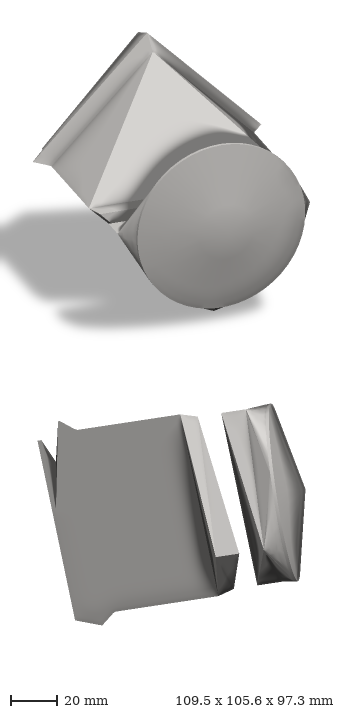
import cadquery as cq
import math


flange_front_radius = 48.2
flange_radius = 52.8
flange_x = 11.1
neck_x = 16.8
neck_radius = 47.5
barrel_x = 18.0
barrel_radius = 46.9
barrel_end_x = 63.0

plate_thickness = 1.8
plate_reach = 44.5
slot_tip_x = 9.3
slot_tip_reach = 46.6
slot_slope = slot_tip_x / slot_tip_reach
slot_start = plate_thickness / slot_slope
slot_overrun = 65.7

core_radius = 44.5
collar_x = 70.2
collar_end_x = 80.5
wedge_end_x = 91.2

dome_inner_rim_x = 98.9
dome_rim_x = 100.3
dome_rim_radius = 38.8
dome_tip_x = 109.5
top_angle = 90.0
lower_fan_angle = 45.0


def polyhedron(corners, faces):
    """Solid with flat faces; each face lists the indices of its corners in order."""
    sides = []
    for face in faces:
        outline = [cq.Vector(*corners[i]) for i in face]
        sides.append(cq.Face.makeFromWires(cq.Wire.makePolygon(outline, close=True)))
    solid = cq.Solid.makeSolid(cq.Shell.makeShell(sides))
    return cq.Workplane(solid.fix())


def triangle_ring(x, radius):
    """Corners at +Y, top and -Y of a half-square section."""
    return [(x, radius, 0), (x, 0, radius), (x, -radius, 0)]


def half_prism(x_start, radius_start, x_end, radius_end):
    """Triangular frustum between two half-square sections."""
    corners = triangle_ring(x_start, radius_start) + triangle_ring(x_end, radius_end)
    faces = [(0, 1, 2), (3, 4, 5), (0, 1, 4, 3), (1, 2, 5, 4), (2, 0, 3, 5)]
    return polyhedron(corners, faces)


def make_barrel():
    """Section that slopes from its top corner down to a straight far edge."""
    corners = triangle_ring(barrel_x, barrel_radius)
    corners += [(barrel_end_x, barrel_radius, 0), (barrel_end_x, -barrel_radius, 0)]
    faces = [(0, 1, 2), (0, 1, 3), (2, 1, 4), (1, 3, 4), (0, 2, 4, 3)]
    return polyhedron(corners, faces)


def make_slot():
    """Upright wedge, open toward -Y, between the plate and the flange."""
    outline = [
        (plate_thickness, -slot_start),
        (plate_thickness, -slot_overrun),
        (slot_slope * slot_overrun, -slot_overrun),
    ]
    return cq.Workplane("XY").polyline(outline).close().extrude(slot_overrun)


def make_plate_trim():
    """Removes the flange slope outside the plate's straight slanted edge."""
    outline = [
        (0, flange_front_radius),
        (-plate_reach, 0),
        (-slot_overrun, 0),
        (-slot_overrun, slot_overrun),
        (0, slot_overrun),
    ]
    outside_edge = cq.Workplane("YZ").polyline(outline).close().extrude(plate_thickness)
    plate_outline = [
        (0, 0),
        (plate_thickness, -slot_start),
        (plate_thickness, -slot_overrun),
        (0, -slot_overrun),
    ]
    plate_zone = cq.Workplane("XY").polyline(plate_outline).close().extrude(slot_overrun)
    return outside_edge.intersect(plate_zone)


def make_stopper():
    flange = half_prism(0, flange_front_radius, flange_x, flange_radius)
    flange = flange.cut(make_slot()).cut(make_plate_trim())
    back = half_prism(flange_x, flange_radius, neck_x, neck_radius)
    neck = half_prism(neck_x, neck_radius, barrel_x, barrel_radius)
    return flange.union(back).union(neck).union(make_barrel())


def make_collar():
    corners = [
        (barrel_end_x, barrel_radius, 0),
        (barrel_end_x, -barrel_radius, 0),
        (collar_x, core_radius, 0),
        (collar_x, -core_radius, 0),
        (collar_x, 0, -core_radius),
        (collar_end_x, 0, -core_radius),
    ]
    faces = [(0, 1, 3, 2), (0, 1, 4), (0, 2, 4), (1, 3, 4), (2, 4, 5), (3, 4, 5), (2, 3, 5)]
    return polyhedron(corners, faces)


def make_wedge():
    corners = [
        (collar_end_x, core_radius, 0),
        (collar_end_x, -core_radius, 0),
        (wedge_end_x, core_radius, 0),
        (wedge_end_x, -core_radius, 0),
        (wedge_end_x, 0, -core_radius),
    ]
    faces = [(0, 1, 3, 2), (0, 1, 4), (0, 2, 4), (1, 3, 4), (2, 3, 4)]
    return polyhedron(corners, faces)


def rim_point(angle):
    """Point on the inner rim, with the angle in degrees from +Y toward +Z."""
    y = dome_rim_radius * math.cos(math.radians(angle))
    z = dome_rim_radius * math.sin(math.radians(angle))
    return (dome_inner_rim_x, y, z)


def oblique_cone(apex, start_angle, end_angle):
    """Smooth cone from an apex to a sector of the rim disc."""
    center = (dome_inner_rim_x, 0, 0)
    start = rim_point(start_angle)
    middle = rim_point((start_angle + end_angle) / 2)
    end = rim_point(end_angle)
    arc = cq.Edge.makeThreePointArc(cq.Vector(*start), cq.Vector(*middle), cq.Vector(*end))
    first_side = cq.Edge.makeLine(cq.Vector(*center), cq.Vector(*start))
    last_side = cq.Edge.makeLine(cq.Vector(*end), cq.Vector(*center))
    sector = cq.Wire.assembleEdges([first_side, arc, last_side])
    tip = cq.Vertex.makeVertex(*apex)
    return cq.Workplane(cq.occ_impl.shapes.loft([cq.Face.makeFromWires(sector), tip], ruled=True))


def tetrahedron(*corners):
    return polyhedron(corners, [(0, 1, 2), (0, 1, 3), (1, 2, 3), (2, 0, 3)])


def make_dome_base():
    """Transition from the wedge's triangular end to the round rim."""
    center = (dome_inner_rim_x, 0, 0)
    left = (wedge_end_x, core_radius, 0)
    right = (wedge_end_x, -core_radius, 0)
    bottom = (wedge_end_x, 0, -core_radius)
    fans = [
        (left, -lower_fan_angle, top_angle),
        (right, top_angle, 180 + lower_fan_angle),
        (bottom, 180 + lower_fan_angle, 360 - lower_fan_angle),
    ]
    base = tetrahedron(left, right, bottom, center)
    for index, (corner, start_angle, end_angle) in enumerate(fans):
        next_corner = fans[(index + 1) % len(fans)][0]
        base = base.union(oblique_cone(corner, start_angle, end_angle))
        base = base.union(tetrahedron(corner, next_corner, center, rim_point(end_angle)))
    return base


def make_dome():
    rim_length = dome_rim_x - dome_inner_rim_x
    along_x = cq.Vector(1, 0, 0)
    rim = cq.Solid.makeCylinder(dome_rim_radius, rim_length, cq.Vector(dome_inner_rim_x, 0, 0), along_x)
    tip = cq.Solid.makeCone(
        dome_rim_radius, 0, dome_tip_x - dome_rim_x, cq.Vector(dome_rim_x, 0, 0), along_x
    )
    return make_dome_base().union(cq.Workplane(rim)).union(cq.Workplane(tip))


stopper = make_stopper()
collar = make_collar()
wedge = make_wedge()
dome = make_dome()

result = cq.Compound.makeCompound([stopper.solids().val(), collar.val(), wedge.val(), dome.solids().val()])